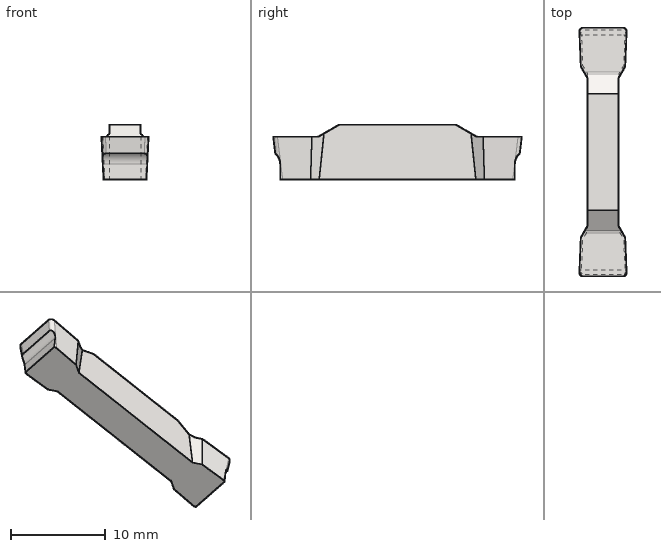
import cadquery as cq
import math

length = 26.2
height = 5.8
half_length = length / 2

bar_width = 3.28
top_half_length = 6.13
ramp_angle = 30.0
ramp_fillet = 0.45

seat_height = 4.5
tip_half_width = 2.52
head_back_y = 9.02
side_taper = 0.04
side_draft = 0.044
end_draft_angle = 7.0
back_draft = 0.03
neck_angle = 60.0
corner_radius = 0.42

relief_top = 2.75
relief_bottom = 1.65
lower_end_y = 12.37

end_draft = math.tan(math.radians(end_draft_angle))
neck_slope = math.tan(math.radians(neck_angle))
seat_edge_y = top_half_length + (height - seat_height) / math.tan(math.radians(ramp_angle))


def head_outline(z):
    """Plan outline of the +Y head at height z."""
    depth = seat_height - z
    tip_y = half_length - depth * end_draft
    back_y = head_back_y + depth * back_draft

    def half_width(y):
        return tip_half_width - side_taper * (half_length - y) - side_draft * depth

    neck_y = back_y - (half_width(back_y) - bar_width / 2) * neck_slope
    right_side = [
        (bar_width / 2, neck_y),
        (half_width(back_y), back_y),
        (half_width(tip_y), tip_y),
    ]
    left_side = [(-x, y) for x, y in reversed(right_side)]
    return right_side + left_side


def head_block():
    """Drafted head of full height, with its two tip corners rounded."""
    block = (
        cq.Workplane("XY")
        .polyline(head_outline(0)).close()
        .workplane(offset=height)
        .polyline(head_outline(height)).close()
        .loft(ruled=True)
    )
    return block.faces(">Y").edges("not #Z").fillet(corner_radius)


def side_profile():
    """Outline along the length, extruded wider than the heads."""
    relief_mid_z = (relief_top + relief_bottom) / 2
    relief_top_y = half_length - (seat_height - relief_top) * end_draft
    overhang = relief_top_y - lower_end_y
    rise = relief_top - relief_bottom
    radius = (overhang**2 + rise**2) / (2 * overhang)
    mid_rise = relief_mid_z - relief_bottom
    relief_mid_y = lower_end_y + radius - math.sqrt(radius**2 - mid_rise**2)
    profile = (
        cq.Workplane("YZ")
        .moveTo(-lower_end_y, 0)
        .lineTo(lower_end_y, 0)
        .lineTo(lower_end_y, relief_bottom)
        .threePointArc((relief_mid_y, relief_mid_z), (relief_top_y, relief_top))
        .lineTo(half_length, seat_height)
        .lineTo(seat_edge_y, seat_height)
        .lineTo(top_half_length, height)
        .lineTo(-top_half_length, height)
        .lineTo(-seat_edge_y, seat_height)
        .lineTo(-half_length, seat_height)
        .lineTo(-relief_top_y, relief_top)
        .threePointArc((-relief_mid_y, relief_mid_z), (-lower_end_y, relief_bottom))
        .close()
        .extrude(2 * tip_half_width, both=True)
    )
    for side in (-1, 1):
        seat_edge = cq.selectors.NearestToPointSelector((0, side * seat_edge_y, seat_height))
        profile = profile.edges(seat_edge).fillet(ramp_fillet)
    return profile


head = head_block()
bar = cq.Workplane("XY").box(bar_width, 2 * head_back_y, height, centered=(True, True, False))
plan = bar.union(head).union(head.mirror("XZ"))

result = plan.intersect(side_profile())